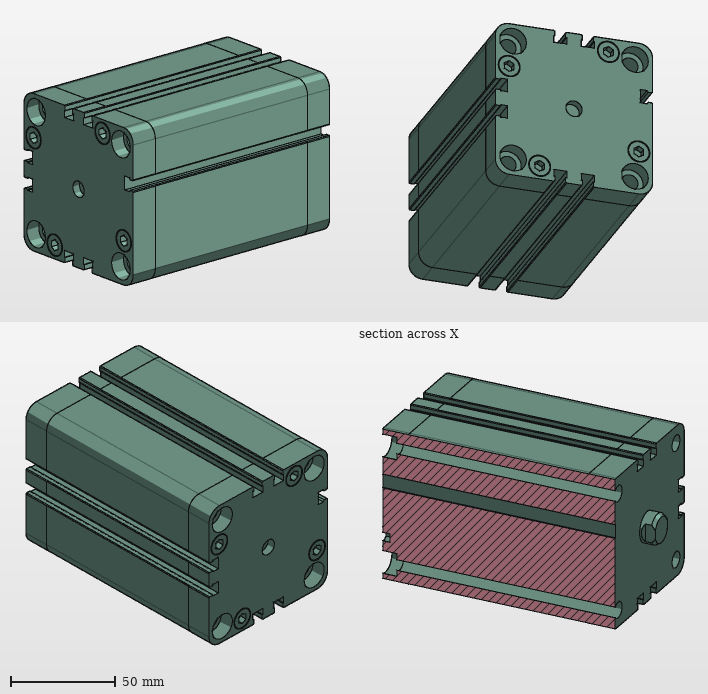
import cadquery as cq
import math

width = 80.0
total_length = 132.5
rod_length = 7.7
housing_length = total_length - rod_length

cap_length = 14.0
corner_radius = 7.0
profile_setback = 0.04

slot_depth = 6.2
slot_bevel_width = 0.5
slot_bevel_depth = 0.4
slot_offset = 7.0
slot_mouth = 5.5
slot_inner = 6.6
slot_lip = 2.8
side_slot_height = 12.0
side_slot_mouth = 5.3
side_slot_inner = 7.0
side_slot_lip = 2.3
side_slot_shoulder = 2.9

mount_offset = 31.0
mount_diameter = 8.3
counterbore_diameter = 13.5
counterbore_depth = 7.5

screw_near = 17.5
screw_far = 33.0
recess_diameter = 11.1
head_diameter = 10.5
recess_depth = 0.1
socket_flats = 4.9
socket_depth = 4.0

port_diameter = 8.2
port_depth = 4.2

rod_diameter = 16.0
rod_chamfer_length = 2.0
rod_chamfer_radial = 1.2
flats_width = 13.0
flats_length = 5.3


def back_from_front(sketch, depth):
    """Extrude a sketch on the front face (XZ at Y = 0) into the part."""
    return sketch.extrude(-depth)


def square_block(side, start, length):
    """Square bar with rounded long edges, from Y = start to start + length."""
    block = back_from_front(cq.Workplane("XZ").rect(side, side), length)
    return block.edges("|Y").fillet(corner_radius).translate((0, start, 0))


def housing():
    profile_width = width - 2 * profile_setback
    front_cap = square_block(width, 0, cap_length)
    back_cap = square_block(width, housing_length - cap_length, cap_length)
    profile = square_block(profile_width, cap_length, housing_length - 2 * cap_length)
    return front_cap.union(profile).union(back_cap)


def slot(offset, mouth, inner, lip, shoulder, angle):
    """Full-length slot drawn in the top face, then turned about Y by angle."""
    top = width / 2
    right_side = [
        (mouth / 2 + slot_bevel_width, top),
        (mouth / 2, top - slot_bevel_depth),
        (mouth / 2, top - lip),
        (inner / 2, top - shoulder),
        (inner / 2, top - slot_depth),
    ]
    left_side = [(-x, z) for x, z in reversed(right_side)]
    outline = [(x + offset, z) for x, z in right_side + left_side]
    cutter = back_from_front(cq.Workplane("XZ").polyline(outline).close(), housing_length)
    return cutter.rotate((0, 0, 0), (0, 1, 0), angle)


def counterbored_holes():
    centers = [(x, z) for x in (-mount_offset, mount_offset) for z in (-mount_offset, mount_offset)]
    points = cq.Workplane("XZ").pushPoints(centers)
    holes = back_from_front(points.circle(mount_diameter / 2), housing_length)
    counterbores = back_from_front(points.circle(counterbore_diameter / 2), counterbore_depth)
    return holes.union(counterbores)


def screw_recess():
    """Ring gap around one screw head, plus its hex socket with corners up and down."""
    ring = cq.Workplane("XZ").circle(recess_diameter / 2).circle(head_diameter / 2)
    across_corners = socket_flats / math.cos(math.pi / 6)
    socket = back_from_front(cq.Workplane("XZ").polygon(6, across_corners), socket_depth)
    return back_from_front(ring, recess_depth).union(socket.rotate((0, 0, 0), (0, 1, 0), 30))


def rod_end():
    radius = rod_diameter / 2
    chamfer_start = rod_length - rod_chamfer_length
    half_section = [
        (0, 0),
        (radius, 0),
        (radius, chamfer_start),
        (radius - rod_chamfer_radial, rod_length),
        (0, rod_length),
    ]
    rod = cq.Workplane("XY").polyline(half_section).close().revolve(360, (0, 0), (0, 1))

    flat_x = flats_width / 2
    flat_y = rod_length - flats_length
    cut_depth = radius - flat_x
    flat_section = [
        (flat_x, rod_length),
        (flat_x, flat_y),
        (flat_x + cut_depth, flat_y - cut_depth),
        (flat_x + cut_depth, rod_length),
    ]
    flat = cq.Workplane("XY").polyline(flat_section).close().extrude(radius, both=True)
    rod = rod.cut(flat).cut(flat.mirror("YZ"))
    return rod.translate((0, housing_length, 0))


result = housing()

for side_angle in (0, 180, 270):
    for offset in (-slot_offset, slot_offset):
        result = result.cut(slot(offset, slot_mouth, slot_inner, slot_lip, slot_lip, side_angle))
result = result.cut(
    slot(-side_slot_height, side_slot_mouth, side_slot_inner, side_slot_lip, side_slot_shoulder, 90)
)

result = result.cut(counterbored_holes())

for turn in (0, 90, 180, 270):
    angle = math.radians(turn)
    x = screw_near * math.cos(angle) + screw_far * math.sin(angle)
    z = screw_far * math.cos(angle) - screw_near * math.sin(angle)
    result = result.cut(screw_recess().translate((x, 0, z)))

port = cq.Workplane("XZ").circle(port_diameter / 2)
result = result.cut(back_from_front(port, port_depth))

result = result.union(rod_end())